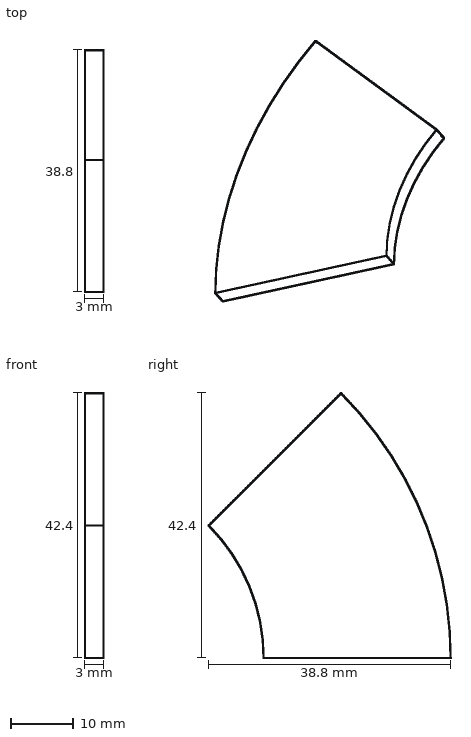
import cadquery as cq
import math

height = 42.45
sweep_angle = 45.0
thickness = 3.0

outer_radius = height / math.sin(math.radians(sweep_angle))
inner_radius = outer_radius / 2


def ring_point(radius, angle):
    """Point (Y, Z) on a circle about the ring centre, angle in degrees from +Y."""
    angle_rad = math.radians(angle)
    return radius * math.cos(angle_rad), radius * math.sin(angle_rad)


middle_angle = sweep_angle / 2

result = (
    cq.Workplane("YZ")
    .moveTo(*ring_point(inner_radius, 0))
    .lineTo(*ring_point(outer_radius, 0))
    .threePointArc(ring_point(outer_radius, middle_angle), ring_point(outer_radius, sweep_angle))
    .lineTo(*ring_point(inner_radius, sweep_angle))
    .threePointArc(ring_point(inner_radius, middle_angle), ring_point(inner_radius, 0))
    .close()
    .extrude(thickness / 2, both=True)
)